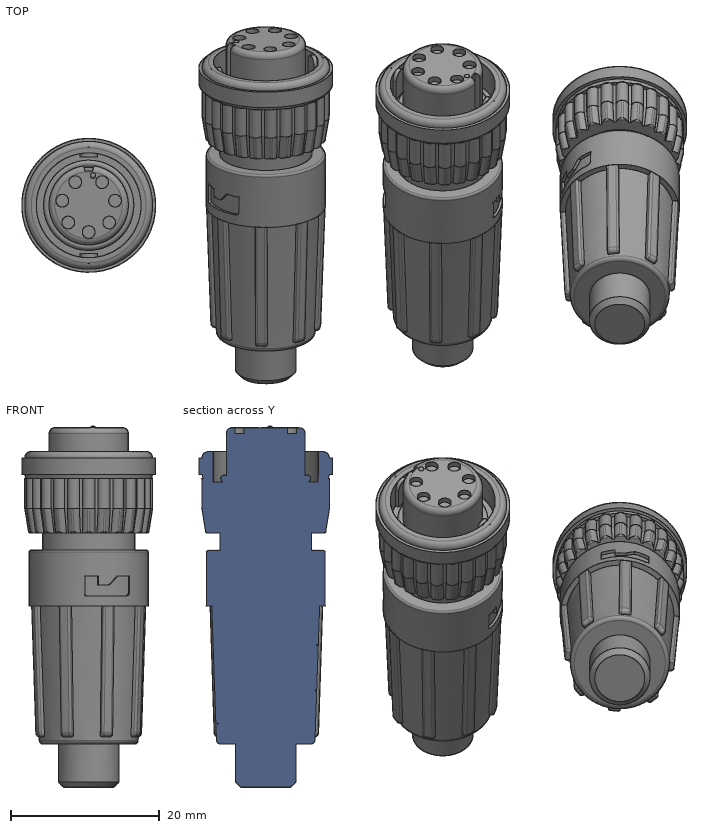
import cadquery as cq
import math


total_height = 48.65

tail_radius = 4.1
tail_chamfer = 0.75

grip_bottom = 5.85
grip_bottom_fillet = 0.55
draft = math.tan(math.radians(2.0))
grip_top_radius = 7.3
rib_count = 8
rib_first_angle = 20.3
rib_width = 1.6
rib_edge_fillet = 0.3
rib_end = 6.8
rib_end_radius = 0.6
rib_top_radius = 8.0

collar_bottom = 24.45
collar_top = 31.95
collar_radius = 8.05
collar_fillet = 0.3
window_angle = 19.8
window_width = 6.4
window_bottom = 25.8
window_top = 28.45
window_depth = 0.4
window_left_fillet = 0.3
window_right_fillet = 0.6
notch_left = -1.4
notch_right = 0.1
notch_depth = 1.15

neck_radius = 6.25

ring_bottom = 34.25
knurl_bend = 37.55
knurl_top = 41.6
flange_bottom = 42.15
flange_top = 44.4
ring_top = 45.25
flange_radius = 18.05 / 2
ring_radius = 8.6
ring_base_radius = 8.1
relief_radius = 8.45
ring_base_fillet = 0.3
lobe_count = 24
lobe_radius = 0.9
valley_radius = 8.05

cavity_radius = 7.05
cavity_floor = 41.15
lug_radius = 1.15
lug_tip = 6.45
seal_section_radius = 0.5
seal_mean_radius = 5.6
seal_height = 41.6

insert_top = 48.45
insert_radius = 5.35
insert_fillet = 0.85
pin_count = 7
pin_pitch_angle = 50.0
pin_circle_radius = 3.6
pin_hole_radius = 0.85
pin_hole_depth = 0.8
keyway_floor = 4.6
keyway_outer_width = 1.45
keyway_inner_width = 1.0
mark_x = 0.6
mark_y = 4.0
mark_radius = 0.365


def cylinder(radius, bottom, top):
    return cq.Workplane("XY", origin=(0, 0, bottom)).circle(radius).extrude(top - bottom)


def cone(bottom_radius, top_radius, bottom, top):
    profile = [(0, bottom), (bottom_radius, bottom), (top_radius, top), (0, top)]
    return cq.Workplane("XZ").polyline(profile).close().revolve(360, (0, 0), (0, 1))


def around_axis(shape, count, first_angle=0.0):
    """Union of equally spaced copies of a shape about Z."""
    ring = None
    for i in range(count):
        copy = shape.rotate((0, 0, 0), (0, 0, 1), first_angle + i * 360 / count)
        ring = copy if ring is None else ring.union(copy)
    return ring


def make_tail():
    return cylinder(tail_radius, 0, grip_bottom).faces("<Z").chamfer(tail_chamfer)


def make_rib():
    """One rib along +X, its outer face drafted like the grip and its lower end rounded."""
    tip_height = rib_end + rib_end_radius
    tip_radius = rib_top_radius - draft * (collar_bottom - tip_height)
    rib = (
        cq.Workplane("XZ", origin=(0, rib_width / 2, 0))
        .moveTo(tail_radius, rib_end)
        .lineTo(tip_radius - rib_end_radius, rib_end)
        .radiusArc((tip_radius, tip_height), -rib_end_radius)
        .lineTo(rib_top_radius, collar_bottom)
        .lineTo(tail_radius, collar_bottom)
        .close()
        .extrude(rib_width)
    )
    long_edges = cq.selectors.BoxSelector(
        (tip_radius, -rib_width, tip_height),
        (rib_top_radius, rib_width, collar_bottom - rib_end_radius),
    )
    return rib.edges(long_edges).fillet(rib_edge_fillet)


def make_grip():
    bottom_radius = grip_top_radius - draft * (collar_bottom - grip_bottom)
    body = cone(bottom_radius, grip_top_radius, grip_bottom, collar_bottom)
    body = body.faces("<Z").edges().fillet(grip_bottom_fillet)
    return body.union(around_axis(make_rib(), rib_count, rib_first_angle - 90))


def make_window():
    """Shallow lock window with a stepped notch in its upper edge, cut to a constant depth."""
    half_width = window_width / 2
    notch_bottom = window_top - notch_depth
    outline = [
        (-half_width, window_bottom),
        (half_width, window_bottom),
        (half_width, window_top),
        (notch_right + notch_depth, window_top),
        (notch_right, notch_bottom),
        (notch_left, notch_bottom),
        (notch_left, window_top),
        (-half_width, window_top),
    ]
    block = cq.Workplane("XZ").polyline(outline).close().extrude(2 * collar_radius)
    block = block.faces("<Z").edges("|Y").edges("<X").fillet(window_left_fillet)
    block = block.faces("<Z").edges("|Y").edges(">X").fillet(window_right_fillet)
    core = cylinder(collar_radius - window_depth, collar_bottom, collar_top)
    return block.rotate((0, 0, 0), (0, 0, 1), window_angle).cut(core)


def make_collar():
    collar = cylinder(collar_radius, collar_bottom, collar_top)
    collar = collar.faces(">Z").edges().fillet(collar_fillet)
    return collar.cut(around_axis(make_window(), 2))


def make_knurl():
    """Lobed grip of the coupling ring: straight above, leaning inward below the bend."""
    lean = ring_radius - ring_base_radius
    lobe_center = ring_radius - lobe_radius
    straight_lobe = cylinder(lobe_radius, knurl_bend, knurl_top).translate((lobe_center, 0, 0))
    straight_part = cylinder(valley_radius, knurl_bend, knurl_top)
    straight_part = straight_part.union(around_axis(straight_lobe, lobe_count))

    drop = knurl_bend - ring_bottom
    lobe_axis = cq.Vector(lean, 0, drop)
    leaning_lobe = cq.Workplane(
        cq.Solid.makeCylinder(
            lobe_radius,
            3 * lobe_axis.Length,
            cq.Vector(lobe_center - 2 * lean, 0, ring_bottom - drop),
            lobe_axis,
        )
    )
    envelope = cone(ring_base_radius, ring_radius, ring_bottom, knurl_bend)
    envelope = envelope.faces("<Z").edges().fillet(ring_base_fillet)
    leaning_part = cone(valley_radius - lean, valley_radius, ring_bottom, knurl_bend)
    leaning_part = leaning_part.union(around_axis(leaning_lobe.intersect(envelope), lobe_count))
    return straight_part.union(leaning_part)


def make_coupling_ring():
    ring = make_knurl()
    ring = ring.union(cone(relief_radius, ring_radius, knurl_top, flange_bottom))
    ring = ring.union(cylinder(flange_radius, flange_bottom, flange_top))
    rim = cylinder(ring_radius, flange_bottom, ring_top)
    rim = rim.faces(">Z").edges().fillet(ring_top - flange_top)
    ring = ring.union(rim)
    return ring.cut(cylinder(cavity_radius, cavity_floor, ring_top))


def make_lugs():
    """Two round-topped bayonet lugs standing on the cavity floor and pointing inward along Y."""
    arch_height = ring_top - lug_radius
    wall_middle = (cavity_radius + ring_radius) / 2
    lug = (
        cq.Workplane("XZ", origin=(0, -lug_tip, 0))
        .moveTo(-lug_radius, cavity_floor)
        .lineTo(-lug_radius, arch_height)
        .threePointArc((0, ring_top), (lug_radius, arch_height))
        .lineTo(lug_radius, cavity_floor)
        .close()
        .extrude(wall_middle - lug_tip)
    )
    return around_axis(lug, 2)


def make_seal():
    return (
        cq.Workplane("XZ")
        .center(seal_mean_radius, seal_height)
        .circle(seal_section_radius)
        .revolve(360, (-seal_mean_radius, 0), (-seal_mean_radius, 1))
    )


def make_insert():
    insert = cylinder(insert_radius, cavity_floor, insert_top)
    insert = insert.faces(">Z").edges().fillet(insert_fillet)
    first_pin_angle = -90 - pin_pitch_angle * (pin_count - 1) / 2
    pins = (
        cq.Workplane("XY", origin=(0, 0, insert_top - pin_hole_depth))
        .polarArray(pin_circle_radius, first_pin_angle, pin_pitch_angle, pin_count, fill=False)
        .circle(pin_hole_radius)
        .extrude(pin_hole_depth)
    )
    slope = (keyway_outer_width - keyway_inner_width) / 2 / (insert_radius - keyway_floor)
    mouth = insert_radius + seal_section_radius
    mouth_half_width = keyway_inner_width / 2 + slope * (mouth - keyway_floor)
    keyway = (
        cq.Workplane("XY", origin=(0, 0, cavity_floor))
        .moveTo(-keyway_inner_width / 2, keyway_floor)
        .lineTo(keyway_inner_width / 2, keyway_floor)
        .lineTo(mouth_half_width, mouth)
        .lineTo(-mouth_half_width, mouth)
        .close()
        .extrude(insert_top - cavity_floor)
    )
    return insert.cut(pins).cut(keyway)


def make_mark():
    """Raised domed dot on the insert face that sets the overall height."""
    rise = total_height - insert_top
    dome_radius = (mark_radius**2 + rise**2) / (2 * rise)
    dome = cq.Workplane("XY").sphere(dome_radius)
    dome = dome.translate((mark_x, mark_y, total_height - dome_radius))
    keep = cylinder(dome_radius, insert_top - rise, total_height).translate((mark_x, mark_y, 0))
    return dome.intersect(keep)


result = make_tail()
for section in (
    make_grip(),
    make_collar(),
    cylinder(neck_radius, collar_top, ring_bottom),
    make_coupling_ring(),
    make_lugs(),
    make_insert(),
    make_seal(),
    make_mark(),
):
    result = result.union(section)